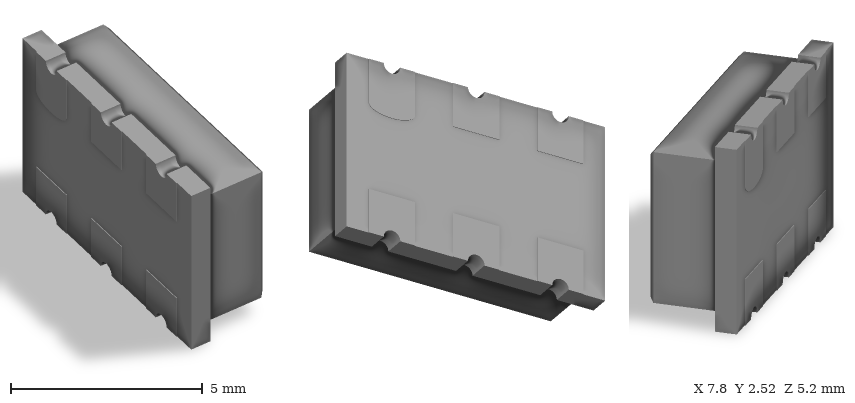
import cadquery as cq

total_depth = 2.52

board_length = 7.8
board_height = 5.2
board_thickness = 0.6

can_length = 7.3
can_height = 4.25
can_chamfer = 0.12

pad_pitch = 2.54
pad_width = 1.4
pad_length = 1.3
pad_thickness = 0.02
pad_columns = (-1, 0, 1)
pad_rows = (-1, 1)

marker_column = -1
marker_row = 1
marker_round = 0.28

notch_radius = 0.25

pad_front = -total_depth / 2
board_front = pad_front + pad_thickness
board_back = board_front + board_thickness
can_depth = total_depth - pad_thickness - board_thickness


def block(length, depth, height, front):
    """Box centred on X and Z whose front face lies at Y = front."""
    return cq.Workplane("XY").box(length, depth, height).translate((0, front + depth / 2, 0))


def can():
    """Plain can with its back rim chamfered."""
    body = block(can_length, can_depth, can_height, board_back)
    return body.faces(">Y").chamfer(can_chamfer)


def pad(column, row):
    """Pad running from the board edge towards the middle of the board."""
    edge_z = row * board_height / 2
    center_x = column * pad_pitch
    center_z = edge_z - row * pad_length / 2
    plate = block(pad_width, pad_thickness, pad_length, pad_front).translate((center_x, 0, center_z))
    if (column, row) == (marker_column, marker_row):
        end_z = edge_z - row * pad_length
        rounded_end = (
            cq.Workplane("XZ", origin=(center_x, board_front, end_z))
            .ellipse(pad_width / 2, marker_round)
            .extrude(pad_thickness)
        )
        plate = plate.union(rounded_end)
    return plate


def notch(column, row):
    """Cutter for the half-round notch through board and pad."""
    return (
        cq.Workplane("XZ", origin=(column * pad_pitch, board_back, row * board_height / 2))
        .circle(notch_radius)
        .extrude(board_thickness + pad_thickness)
    )


board = block(board_length, board_thickness, board_height, board_front)
for row in pad_rows:
    for column in pad_columns:
        board = board.union(pad(column, row)).cut(notch(column, row))

result = board.union(can())